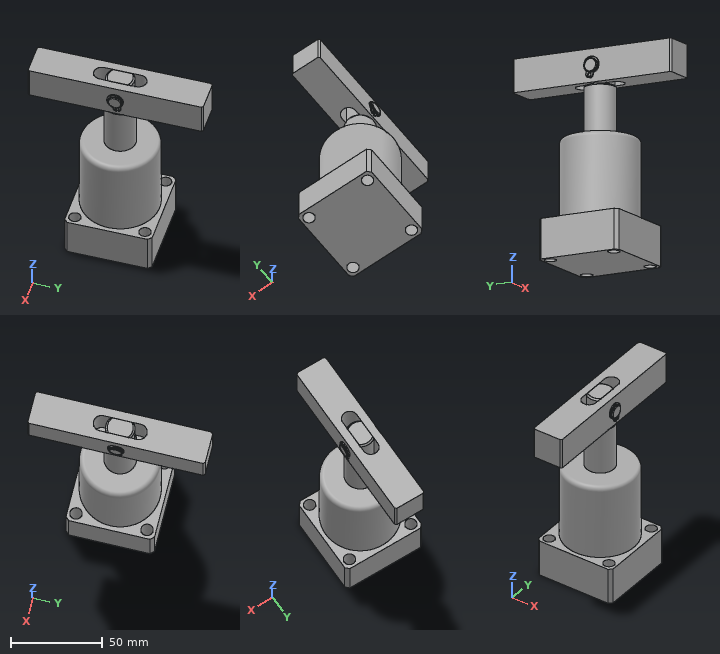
import cadquery as cq

BASE_SIDE = 50.0
BASE_HEIGHT = 23.0
BASE_CORNER_CHAMFER = 2.0
MOUNT_HOLE_DIAMETER = 6.7
MOUNT_HOLE_SPACING = 40.0
CYLINDER_DIAMETER = 45.0
HOUSING_HEIGHT = 70.0
CYLINDER_TOP_FILLET = 3.0

ARM_LENGTH = 100.0
ARM_SIDE = 19.0
ARM_TOP = 119.0
ARM_BOTTOM = ARM_TOP - ARM_SIDE
ARM_EDGE_CHAMFER = 1.0
SLOT_LENGTH = 30.0
SLOT_WIDTH = 9.0

ROD_DIAMETER = 18.0
ROD_CHAMFER = 1.0
SHOULDER_GAP = 0.4
SHOULDER_Z = ARM_BOTTOM - SHOULDER_GAP
ROD_DEPTH_IN_HOUSING = 11.9
ROD_BOTTOM = HOUSING_HEIGHT - ROD_DEPTH_IN_HOUSING
TONGUE_DIAMETER = ROD_DIAMETER - 2 * ROD_CHAMFER
TONGUE_TOP = 118.8
TONGUE_CHAMFER = 1.0

PIN_DIAMETER = 8.0
PIN_LENGTH = 22.5
PIN_CHAMFER = 0.5
PIN_Z = ARM_TOP - ARM_SIDE / 2

RING_THICKNESS = 0.7
RING_INNER_RADIUS = 3.8
RING_OUTER_RADIUS = 4.6
RING_OFFSET = 0.4
RING_TILT = 12.0
LUG_REACH = 7.0
LUG_WIDTH = 4.4
LUG_CORNER_CHAMFER = 1.2
LUG_GAP = 1.1
PLIER_NOTCH_RADIUS = 1.1
PLIER_NOTCH_DISTANCE = 5.4


def make_housing():
    base = (
        cq.Workplane("XY")
        .box(BASE_SIDE, BASE_SIDE, BASE_HEIGHT, centered=(True, True, False))
        .edges("|Z")
        .chamfer(BASE_CORNER_CHAMFER)
    )
    cylinder = (
        cq.Workplane("XY")
        .circle(CYLINDER_DIAMETER / 2)
        .extrude(HOUSING_HEIGHT)
        .faces(">Z")
        .edges()
        .fillet(CYLINDER_TOP_FILLET)
    )
    mount_holes = (
        cq.Workplane("XY")
        .rect(MOUNT_HOLE_SPACING, MOUNT_HOLE_SPACING, forConstruction=True)
        .vertices()
        .circle(MOUNT_HOLE_DIAMETER / 2)
        .extrude(BASE_HEIGHT)
    )
    rod_bore = (
        cq.Workplane("XY", origin=(0, 0, ROD_BOTTOM))
        .circle(ROD_DIAMETER / 2)
        .extrude(ROD_DEPTH_IN_HOUSING)
    )
    return base.union(cylinder).cut(mount_holes).cut(rod_bore)


def make_pin_bore():
    """Cylinder of the full pin diameter, as long as the arm is wide."""
    return (
        cq.Workplane("YZ", origin=(-ARM_SIDE / 2, 0, PIN_Z))
        .circle(PIN_DIAMETER / 2)
        .extrude(ARM_SIDE)
    )


def make_arm():
    bar = (
        cq.Workplane("XY", origin=(0, 0, ARM_BOTTOM))
        .box(ARM_SIDE, ARM_LENGTH, ARM_SIDE, centered=(True, True, False))
        .edges("|Z")
        .chamfer(ARM_EDGE_CHAMFER)
    )
    slot = (
        cq.Workplane("XY", origin=(0, 0, ARM_BOTTOM))
        .slot2D(SLOT_LENGTH, SLOT_WIDTH, angle=90)
        .extrude(ARM_SIDE)
    )
    return bar.cut(slot).cut(make_pin_bore())


def make_rod():
    shaft = (
        cq.Workplane("XY", origin=(0, 0, ROD_BOTTOM))
        .circle(ROD_DIAMETER / 2)
        .extrude(SHOULDER_Z - ROD_BOTTOM)
        .faces(">Z")
        .edges()
        .chamfer(ROD_CHAMFER)
    )
    tongue_height = TONGUE_TOP - SHOULDER_Z
    tongue_round = (
        cq.Workplane("XY", origin=(0, 0, SHOULDER_Z))
        .circle(TONGUE_DIAMETER / 2)
        .extrude(tongue_height)
        .faces(">Z")
        .edges()
        .chamfer(TONGUE_CHAMFER)
    )
    tongue_flats = (
        cq.Workplane("XY", origin=(0, 0, SHOULDER_Z))
        .rect(SLOT_WIDTH, ROD_DIAMETER)
        .extrude(tongue_height)
    )
    tongue = tongue_round.intersect(tongue_flats)
    return shaft.union(tongue).cut(make_pin_bore())


def make_ring_groove(side):
    """Washer of pin material that the ring replaces, against one side of the arm."""
    return (
        cq.Workplane("YZ", origin=(side * ARM_SIDE / 2, 0, PIN_Z))
        .circle(PIN_DIAMETER / 2)
        .circle(RING_INNER_RADIUS)
        .extrude(side * RING_THICKNESS)
    )


def make_pin():
    pin = (
        cq.Workplane("YZ", origin=(-PIN_LENGTH / 2, 0, PIN_Z))
        .circle(PIN_DIAMETER / 2)
        .extrude(PIN_LENGTH)
        .faces("<X or >X")
        .edges()
        .chamfer(PIN_CHAMFER)
    )
    for side in (-1, 1):
        pin = pin.cut(make_ring_groove(side))
    return pin


def make_retaining_ring(side):
    """Open ring, thickest opposite its gap, with two lugs beside the gap."""
    plane = cq.Workplane("YZ", origin=(side * ARM_SIDE / 2, 0, PIN_Z))
    depth = side * RING_THICKNESS
    band = plane.center(0, RING_OFFSET).circle(RING_OUTER_RADIUS).extrude(depth)
    lugs = (
        plane.center(0, -LUG_REACH / 2)
        .rect(LUG_WIDTH, LUG_REACH)
        .extrude(depth)
        .faces("<Z")
        .edges("|X")
        .chamfer(LUG_CORNER_CHAMFER)
    )
    pin_opening = plane.circle(RING_INNER_RADIUS).extrude(depth)
    gap = plane.center(0, -LUG_REACH / 2).rect(LUG_GAP, LUG_REACH).extrude(depth)
    plier_notch = plane.center(0, -PLIER_NOTCH_DISTANCE).circle(PLIER_NOTCH_RADIUS).extrude(depth)
    ring = band.union(lugs).cut(pin_opening).cut(gap).cut(plier_notch)
    return ring.rotate((0, 0, PIN_Z), (1, 0, PIN_Z), RING_TILT)


housing = make_housing()
rod = make_rod()
arm = make_arm()
pin = make_pin()
retaining_rings = [make_retaining_ring(side) for side in (-1, 1)]

result = cq.Compound.makeCompound(
    [housing.val(), rod.val(), arm.val(), pin.val(), *[ring.val() for ring in retaining_rings]]
)